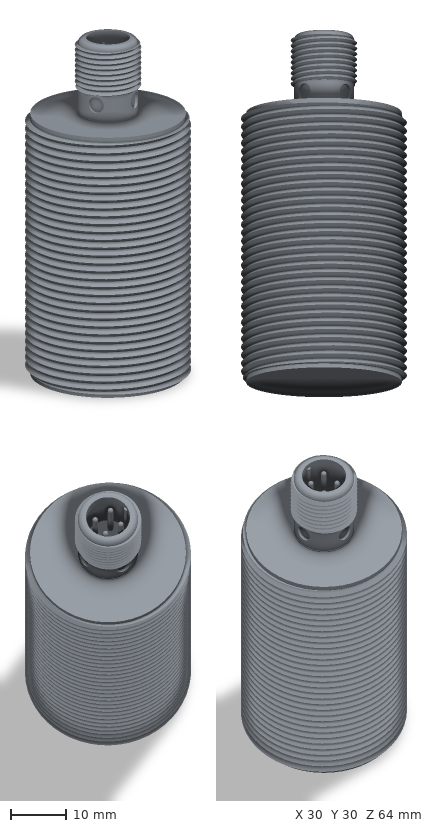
import cadquery as cq
import math

BODY_HEIGHT = 49.6
TOTAL_HEIGHT = 64.0

BARREL_DIAMETER = 30.0
BARREL_CREST_RADIUS = BARREL_DIAMETER / 2
BARREL_ROOT_RADIUS = 14.1
BARREL_PITCHES_PER_DIAMETER = 20
BARREL_PITCH = BARREL_DIAMETER / BARREL_PITCHES_PER_DIAMETER
BOTTOM_COLLAR_HEIGHT = 0.8
TOP_COLLAR_HEIGHT = 0.95
BARREL_THREAD_BOTTOM = BOTTOM_COLLAR_HEIGHT
BARREL_THREAD_TOP = BODY_HEIGHT - TOP_COLLAR_HEIGHT
BARREL_CREST_HEIGHT = 0.7

PLUG_DIAMETER = 12.0
PLUG_CREST_RADIUS = PLUG_DIAMETER / 2
PLUG_ROOT_RADIUS = 5.45
PLUG_PITCHES_PER_DIAMETER = 12
PLUG_PITCH = PLUG_DIAMETER / PLUG_PITCHES_PER_DIAMETER
PLUG_RIM_FILLET = 1.0
PLUG_THREAD_BOTTOM = 54.7
PLUG_THREAD_TOP = TOTAL_HEIGHT - PLUG_RIM_FILLET
PLUG_CREST_HEIGHT = 55.05
FOOT_LIP = 0.095
FOOT_RADIUS = PLUG_ROOT_RADIUS + FOOT_LIP
FOOT_HEIGHT = 0.2

ROOT_FLAT = 0.025
RIDGE_EMBED = 0.05
RIDGE_TURNS = 4
CLIP_MARGIN = 0.65

BORE_RADIUS = 4.0
BORE_FLOOR = PLUG_THREAD_BOTTOM
KEY_RADIUS = 0.4
KEY_TOP = TOTAL_HEIGHT - PLUG_RIM_FILLET

PIN_OFFSET = 1.65
PIN_RADIUS = 0.5
PIN_TOP = 62.4
PIN_SEAT_DEPTH = 0.95

WINDOW_COUNT = 4
WINDOW_RADIUS = 1.5
WINDOW_HEIGHT = 52.75
WINDOW_RECESS = 0.5
WINDOW_FACE_RADIUS = PLUG_ROOT_RADIUS - WINDOW_RECESS
WINDOW_SEAT_DISTANCE = 3.2


def cylinder(radius, bottom, top):
    return cq.Workplane("XY").workplane(offset=bottom).circle(radius).extrude(top - bottom)



def helical_strip(pitch, height, start, end):
    """Ruled face between the helices traced by two (radius, z) points."""
    helices = [
        cq.Wire.makeHelix(pitch, height, radius).translate(cq.Vector(0, 0, z))
        for radius, z in (start, end)
    ]
    return cq.Face.makeRuledSurface(*helices)


def thread_ridge(crest_radius, root_radius, pitch):
    """Right-hand helical ridge of V section whose crest starts at z = 0 on the +X side."""
    height = RIDGE_TURNS * pitch
    half_base = (pitch - ROOT_FLAT) / 2
    inner_radius = root_radius - RIDGE_EMBED
    section = [
        (inner_radius, -half_base),
        (root_radius, -half_base),
        (crest_radius, 0),
        (root_radius, half_base),
        (inner_radius, half_base),
    ]
    faces = [
        helical_strip(pitch, height, start, end)
        for start, end in zip(section, section[1:] + section[:1])
    ]
    for z in (0, height):
        outline = [cq.Vector(radius, 0, z + rise) for radius, rise in section]
        faces.append(cq.Face.makeFromWires(cq.Wire.makePolygon(outline, close=True)))
    return cq.Workplane(cq.Solid.makeSolid(cq.Shell.makeShell(faces)))


def threaded_rod(crest_radius, root_radius, pitch, bottom, top, crest_height):
    """Threaded rod with flat ends.

    Every slab one pitch tall is the same, so the skin of one slab is stacked and closed by end faces.
    """
    slab_count = math.floor((top - bottom) / pitch)
    phase = (crest_height - bottom) % pitch
    ridge_bottom = phase - RIDGE_TURNS / 2 * pitch
    ridge = thread_ridge(crest_radius, root_radius, pitch).translate((0, 0, ridge_bottom))

    def slab(height):
        trimmed = ridge.intersect(cylinder(crest_radius + CLIP_MARGIN, 0, height))
        return cylinder(root_radius, 0, height).union(trimmed, clean=False)

    full_slab = slab(pitch)
    last_bottom = bottom + slab_count * pitch
    last_slab = slab(top - last_bottom).translate((0, 0, last_bottom))

    skin = full_slab.faces("not %PLANE")
    faces = full_slab.faces("<Z").translate((0, 0, bottom)).vals()
    for index in range(slab_count):
        faces += skin.translate((0, 0, bottom + index * pitch)).vals()
    faces += last_slab.faces("not %PLANE").vals()
    faces += last_slab.faces(">Z").vals()
    return cq.Workplane(cq.Solid.makeSolid(cq.Shell.makeShell(faces)))



def contact_pin(x, y):
    """Round pin with a hemispherical tip, seated in the bore floor."""
    dome_center = PIN_TOP - PIN_RADIUS
    pin = (
        cq.Workplane("XZ")
        .moveTo(0, BORE_FLOOR - PIN_SEAT_DEPTH)
        .hLineTo(PIN_RADIUS)
        .vLineTo(dome_center)
        .radiusArc((0, PIN_TOP), -PIN_RADIUS)
        .close()
        .revolve(360, (0, 0, 0), (0, 1, 0))
    )
    return pin.translate((x, y, 0))



def window_hole(angle):
    """Radial round hole from the window seat out through the neck wall."""
    return (
        cq.Workplane("YZ")
        .workplane(offset=WINDOW_SEAT_DISTANCE)
        .center(0, WINDOW_HEIGHT)
        .circle(WINDOW_RADIUS)
        .extrude(PLUG_CREST_RADIUS - WINDOW_SEAT_DISTANCE)
        .rotate((0, 0, 0), (0, 0, 1), angle)
    )


def indicator_window(angle):
    """Plug in a window hole, its outer face curved around the neck axis and set below the neck."""
    return window_hole(angle).intersect(cylinder(WINDOW_FACE_RADIUS, 0, TOTAL_HEIGHT))



def barrel():
    thread = threaded_rod(
        BARREL_CREST_RADIUS, BARREL_ROOT_RADIUS, BARREL_PITCH,
        BARREL_THREAD_BOTTOM, BARREL_THREAD_TOP, BARREL_CREST_HEIGHT,
    )
    bottom_collar = cylinder(BARREL_ROOT_RADIUS, 0, BARREL_THREAD_BOTTOM)
    top_collar = cylinder(BARREL_ROOT_RADIUS, BARREL_THREAD_TOP, BODY_HEIGHT)
    return thread.union(bottom_collar, clean=False).union(top_collar, clean=False)


def plug():
    thread = threaded_rod(
        PLUG_CREST_RADIUS, PLUG_ROOT_RADIUS, PLUG_PITCH,
        PLUG_THREAD_BOTTOM, PLUG_THREAD_TOP, PLUG_CREST_HEIGHT,
    )
    neck = cylinder(PLUG_ROOT_RADIUS, BODY_HEIGHT, PLUG_THREAD_BOTTOM)
    rim = (
        cq.Workplane("XZ")
        .moveTo(0, PLUG_THREAD_TOP)
        .hLineTo(PLUG_ROOT_RADIUS)
        .radiusArc((PLUG_ROOT_RADIUS - PLUG_RIM_FILLET, TOTAL_HEIGHT), -PLUG_RIM_FILLET)
        .hLineTo(0)
        .close()
        .revolve(360, (0, 0, 0), (0, 1, 0))
    )
    foot = cylinder(FOOT_RADIUS, BODY_HEIGHT, BODY_HEIGHT + FOOT_HEIGHT)
    return thread.union(neck, clean=False).union(foot, clean=False).union(rim, clean=False)


def socket_bore():
    """Bore volume, less the half-round key that runs up its +X side."""
    key = cylinder(KEY_RADIUS, BORE_FLOOR, KEY_TOP).translate((BORE_RADIUS, 0, 0))
    return cylinder(BORE_RADIUS, BORE_FLOOR, TOTAL_HEIGHT).cut(key)


def make_housing(pins, window_angles):
    connector = plug().cut(socket_bore(), clean=False)
    for pin in pins:
        connector = connector.cut(pin, clean=False)
    for angle in window_angles:
        connector = connector.cut(window_hole(angle), clean=False)
    return barrel().union(connector, clean=False).solids()



pins = [contact_pin(x, y) for x in (-PIN_OFFSET, PIN_OFFSET) for y in (-PIN_OFFSET, PIN_OFFSET)]
window_angles = [index * 360 / WINDOW_COUNT for index in range(WINDOW_COUNT)]
windows = [indicator_window(angle) for angle in window_angles]
housing = make_housing(pins, window_angles)

result = cq.Compound.makeCompound([
    housing.val(),
    *[pin.val() for pin in pins],
    *[window.val() for window in windows],
])